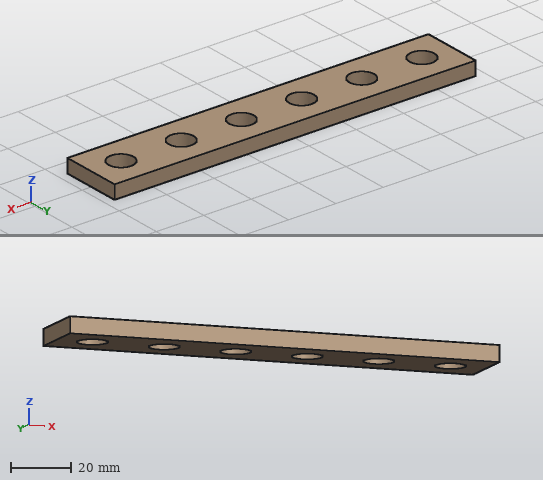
import cadquery as cq

length = 152.4
width = 25.5
thickness = 5.8

hole_count = 6
hole_diameter = 10.4
hole_pitch = length / hole_count


def make_bar():
    """Flat rectangular bar, centred on the origin."""
    return cq.Workplane("XY").box(length, width, thickness)


def drill_hole_row(bar):
    """Evenly spaced through holes, half a pitch from each end."""
    return (
        bar.faces(">Z")
        .workplane()
        .rarray(hole_pitch, width, hole_count, 1)
        .hole(hole_diameter)
    )


result = drill_hole_row(make_bar())